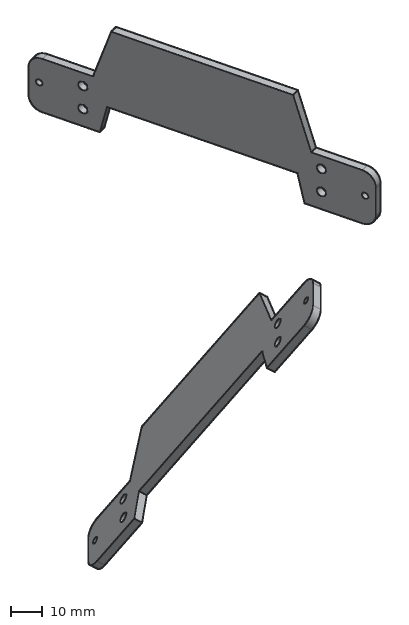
import cadquery as cq

length = 126.0
thickness = 3.0
height = 40.91

top_width = 66.0
panel_base_width = 79.2
panel_rise = 20.0
shoulder_z = height - panel_rise

notch_mouth_width = 74.2
notch_roof_width = 69.0
notch_depth = 10.85

corner_radius = 5.0

mount_hole_diameter = 3.3
mount_hole_spacing_x = 86.5
mount_hole_lower_z = 6.78
mount_hole_pitch_z = 9.0
mount_hole_rows = 2
end_hole_diameter = 2.3
end_hole_spacing_x = 118.2
end_hole_z = 11.25


def make_plate():
    """Symmetric flat plate standing in the XZ plane, front face at Y = 0."""
    right_half = [
        (top_width / 2, height),
        (panel_base_width / 2, shoulder_z),
        (length / 2, shoulder_z),
        (length / 2, 0),
        (notch_mouth_width / 2, 0),
        (notch_roof_width / 2, notch_depth),
    ]
    left_half = [(-x, z) for x, z in reversed(right_half)]
    plate = cq.Workplane("XZ").polyline(right_half + left_half).close().extrude(-thickness)
    return plate.faces("<X or >X").edges("|Y").fillet(corner_radius)


def drill(plate, diameter, spacing_x, z):
    """Drill a mirrored pair of through holes along Y at height z."""
    centers = [(side * spacing_x / 2, z) for side in (-1, 1)]
    cutter = cq.Workplane("XZ").pushPoints(centers).circle(diameter / 2).extrude(-thickness)
    return plate.cut(cutter)


result = make_plate()
for row in range(mount_hole_rows):
    row_z = mount_hole_lower_z + row * mount_hole_pitch_z
    result = drill(result, mount_hole_diameter, mount_hole_spacing_x, row_z)
result = drill(result, end_hole_diameter, end_hole_spacing_x, end_hole_z)